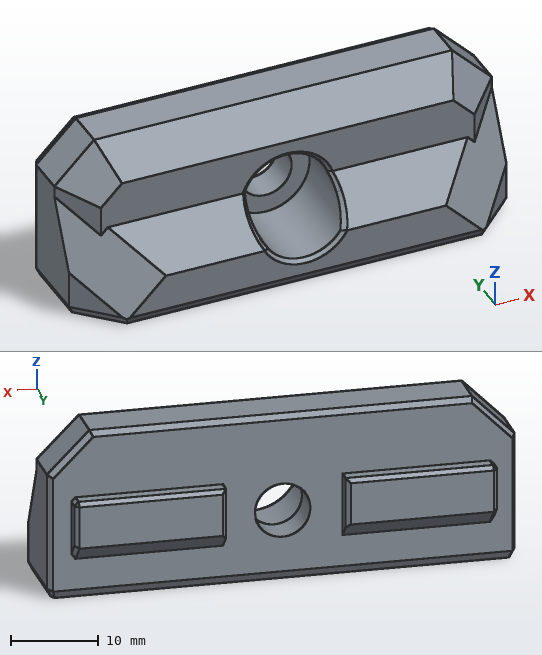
import cadquery as cq
import math

length = 55.0
height = 20.0
depth = 15.0
corner = 5.0
edge_run = 0.5
edge_depth = 1.0

upper_depth = 10.0
upper_bevel = 4.0

lower_face_height = 5.5
ramp_corner_drop = 4.9

hole_height = 8.45
hole_diameter = 6.5
counterbore_diameter = 11.0
counterbore_floor = 4.0
counterbore_bevel = 0.5

lug_inner = 7.05
lug_outer = 24.85
lug_height = 2.0
lug_bottom = 4.8
lug_top = 12.3
lug_bevel = 0.5

half = length / 2
bevel_start = upper_depth - upper_bevel
edge_taper = math.degrees(math.atan2(edge_run, edge_depth))


def base():
    """Full footprint, narrowed by a steep bevel along the bottom edge."""
    plan = [
        (-half + edge_run, 0), (half - edge_run, 0), (half, -edge_depth),
        (half, corner - depth), (half - corner, -depth),
        (corner - half, -depth), (-half, corner - depth), (-half, -edge_depth),
    ]
    level = cq.Workplane("XY", origin=(0, 0, edge_depth))
    wall = level.polyline(plan).close().extrude(height - edge_depth)
    foot = level.polyline(plan).close().extrude(-edge_depth, taper=edge_taper)
    return wall.union(foot)


def outline(y):
    """Front outline with cut top corners, run below the base so its lower edge is trimmed away."""
    below = -height
    return (
        cq.Workplane("XZ", origin=(0, y, 0))
        .polyline([
            (-half, below), (half, below), (half, height - corner),
            (half - corner, height), (corner - half, height), (-half, height - corner),
        ])
        .close()
    )


def rear_slab():
    return outline(-edge_depth).extrude(-edge_depth, taper=edge_taper)


def upper_block():
    middle = outline(-edge_depth).extrude(bevel_start - edge_depth)
    front = outline(-bevel_start).extrude(upper_bevel, taper=45)
    return rear_slab().union(middle).union(front)


def ramp_corner(side):
    """Cutter for one ramp corner; its face leans equally to the ramp and the vertical corner."""
    ramp_top = lower_face_height + depth - upper_depth
    start = ramp_top - ramp_corner_drop
    reach = 2 * length
    plane = cq.Plane(
        origin=(side * half, -upper_depth, start),
        xDir=(-side, 0, 1),
        normal=(side, -2, 1),
    )
    return cq.Workplane(plane).rect(reach, reach).extrude(reach)


def lower_block():
    ramp_top = lower_face_height + depth - bevel_start
    block = (
        cq.Workplane("YZ", origin=(-half, 0, 0))
        .polyline([
            (0, 0), (-depth, 0), (-depth, lower_face_height),
            (-bevel_start, ramp_top), (0, ramp_top),
        ])
        .close()
        .extrude(length)
    )
    for side in (-1, 1):
        front_space = cq.Workplane("XY").box(
            length, depth - bevel_start, 2 * height, centered=(True, False, True)
        ).translate((0, -depth, 0))
        block = block.cut(ramp_corner(side).intersect(front_space))
    return block


def lug():
    body = (
        cq.Workplane("YZ", origin=(lug_inner, 0, 0))
        .polyline([
            (-edge_depth, lug_top), (lug_height, lug_top),
            (lug_height, lug_bottom + lug_height), (0, lug_bottom),
            (-edge_depth, lug_bottom),
        ])
        .close()
        .extrude(lug_outer - lug_inner)
    )
    rear_edges = body.faces(">Y").edges(">Z or <X or >X")
    outer_edges = body.faces(">X").edges("not <Y")
    return rear_edges.add(outer_edges).chamfer(lug_bevel)


def hole(diameter, y_from, y_to):
    return (
        cq.Workplane("XZ", origin=(0, y_from, hole_height))
        .circle(diameter / 2)
        .extrude(y_from - y_to)
    )


body = upper_block().union(lower_block()).intersect(base())
body = body.cut(hole(counterbore_diameter, -counterbore_floor, -2 * depth))

margin = 0.05
reach = counterbore_diameter / 2 + margin
mouth = cq.selectors.BoxSelector(
    (-reach, -2 * depth, hole_height - reach),
    (reach, -counterbore_floor - margin, hole_height + reach),
    boundingbox=True,
)
body = body.edges(mouth).edges("not |Y").chamfer(counterbore_bevel)
body = body.cut(hole(hole_diameter, depth, -2 * depth))

right_lug = lug()
result = body.union(right_lug).union(right_lug.mirror("YZ"))